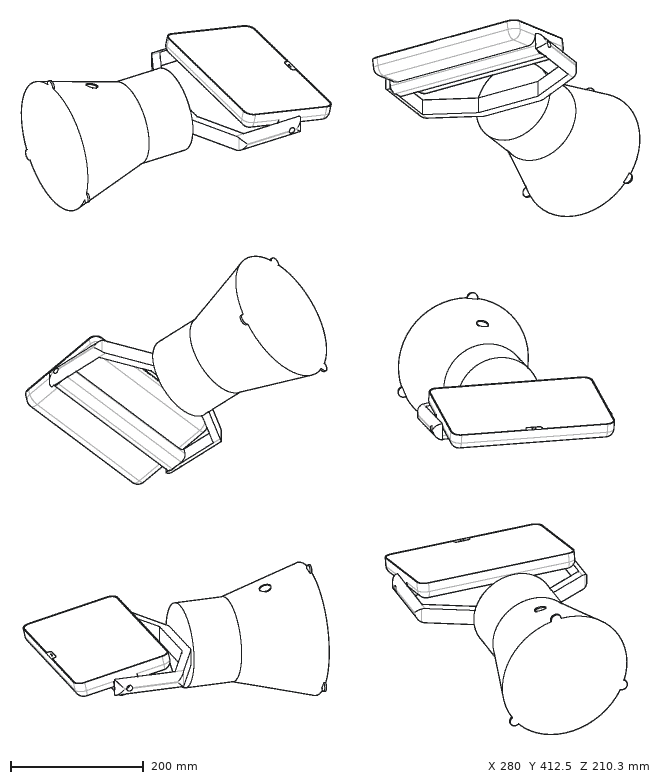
import cadquery as cq
import math


foot_radius = 101.5
neck_radius = 64.7
cone_length = 127.0
lug_radius = 8.2
lug_thickness = 3.0
lug_count = 3
base_turn = 7.7
button_radius = 9.0
button_y = 71.0
button_depth = 2.0

drum_length = 76.0
yoke_start = cone_length + drum_length
yoke_height = 25.0
web_thickness = 14.5
web_half_width = 52.0
arm_thickness = 12.5
arm_slope = 26.5
arm_rounding = 12.0
arm_end = 351.7
pivot_hole_radius = 4.5

overall_length = 412.5
tablet_tilt = 12.0
tablet_width = 255.0
tablet_depth = 153.5
tablet_thickness = 27.2
tablet_rounding = 13.5
hinge_width = 38.5
hinge_drop = 13.0
hinge_rounding = 10.5
screen_border = 1.5
screen_recess = 0.5
notch_width = 25.5
notch_depth = 8.5
notch_rounding = 4.0
lens_radius = 1.0
lens_spacing = 5.0
lens_inset = 5.0

arm_inner_x = tablet_width / 2
tilt = math.radians(tablet_tilt)
pivot_y = overall_length - tablet_depth / 2 * math.cos(tilt) - tablet_thickness * math.sin(tilt)


def make_base():
    """Cone with rounded lugs around its foot and a round recess in its side."""
    profile = [(0, 0), (foot_radius, 0), (neck_radius, cone_length), (0, cone_length)]
    base = cq.Workplane("XY").polyline(profile).close().revolve(360, (0, 0, 0), (0, 1, 0))

    lug = (
        cq.Workplane("XZ")
        .center(0, foot_radius)
        .circle(lug_radius)
        .extrude(-lug_thickness)
    )
    for i in range(lug_count):
        base = base.union(lug.rotate((0, 0, 0), (0, 1, 0), i * 360 / lug_count))

    taper = math.atan2(foot_radius - neck_radius, cone_length)
    button_z = foot_radius - button_y * math.tan(taper)
    outward = cq.Vector(0, math.sin(taper), math.cos(taper))
    floor_centre = cq.Vector(0, button_y, button_z) - outward * button_depth
    recess = cq.Solid.makeCylinder(button_radius, 2 * button_depth, floor_centre, outward)
    base = base.cut(cq.Workplane(recess))

    return base.rotate((0, 0, 0), (0, 1, 0), -base_turn)


def make_head():
    """Drum with a yoke whose two arms hold the tablet."""
    drum = (
        cq.Workplane("XZ", origin=(0, cone_length, 0))
        .circle(neck_radius)
        .extrude(-drum_length)
    )

    slope = math.tan(math.radians(arm_slope))
    arm_outer_x = arm_inner_x + arm_thickness
    web_top = yoke_start + web_thickness
    inner_bend_y = web_top + (arm_inner_x - web_half_width) * slope
    sloped_height = arm_thickness / math.cos(math.radians(arm_slope))
    outer_bend_y = inner_bend_y + arm_thickness * slope - sloped_height
    foot_half_width = arm_outer_x - (outer_bend_y - yoke_start) / slope

    right_half = [
        (foot_half_width, yoke_start),
        (arm_outer_x, outer_bend_y),
        (arm_outer_x, arm_end),
        (arm_inner_x, arm_end),
        (arm_inner_x, inner_bend_y),
        (web_half_width, web_top),
    ]
    left_half = [(-x, y) for x, y in reversed(right_half)]
    yoke = (
        cq.Workplane("XY")
        .polyline(right_half + left_half)
        .close()
        .extrude(yoke_height / 2, both=True)
        .faces("<X or >X")
        .edges()
        .fillet(arm_rounding)
    )
    pivot_holes = (
        cq.Workplane("YZ", origin=(0, pivot_y, 0))
        .circle(pivot_hole_radius)
        .extrude(arm_outer_x, both=True)
    )
    return drum.union(yoke.cut(pivot_holes))


def make_tablet():
    """Rounded slab with a hinge bar on its back and a notched screen recess on its front."""
    slab = (
        cq.Workplane("XY")
        .rect(tablet_width, tablet_depth)
        .extrude(tablet_thickness)
        .edges("|Z")
        .fillet(tablet_rounding)
        .faces("<Z")
        .edges()
        .fillet(tablet_rounding)
    )
    hinge_height = hinge_drop + tablet_rounding
    hinge = (
        cq.Workplane("XY", origin=(0, 0, -hinge_drop))
        .rect(tablet_width, hinge_width)
        .extrude(hinge_height)
        .faces("<Z")
        .edges("|X")
        .fillet(hinge_rounding)
    )
    tablet = slab.union(hinge)

    screen_floor = tablet_thickness - screen_recess
    screen = (
        cq.Workplane("XY", origin=(0, 0, screen_floor))
        .rect(tablet_width - 2 * screen_border, tablet_depth - 2 * screen_border)
        .extrude(screen_recess)
        .edges("|Z")
        .fillet(tablet_rounding - screen_border)
    )
    notch = (
        cq.Workplane("XY", origin=(0, tablet_depth / 2, screen_floor))
        .rect(notch_width, 2 * notch_depth)
        .extrude(screen_recess)
        .edges("|Z")
        .fillet(notch_rounding)
    )
    lenses = (
        cq.Workplane("XY", origin=(0, tablet_depth / 2 - lens_inset, screen_floor))
        .pushPoints([(-lens_spacing / 2, 0), (lens_spacing / 2, 0)])
        .circle(lens_radius)
        .extrude(screen_recess)
    )
    tablet = tablet.cut(screen.cut(notch)).cut(lenses)

    return tablet.rotate((0, 0, 0), (1, 0, 0), -tablet_tilt).translate((0, pivot_y, 0))


base = make_base()
head = make_head()
tablet = make_tablet()

result = cq.Compound.makeCompound([base.val(), head.val(), tablet.val()])